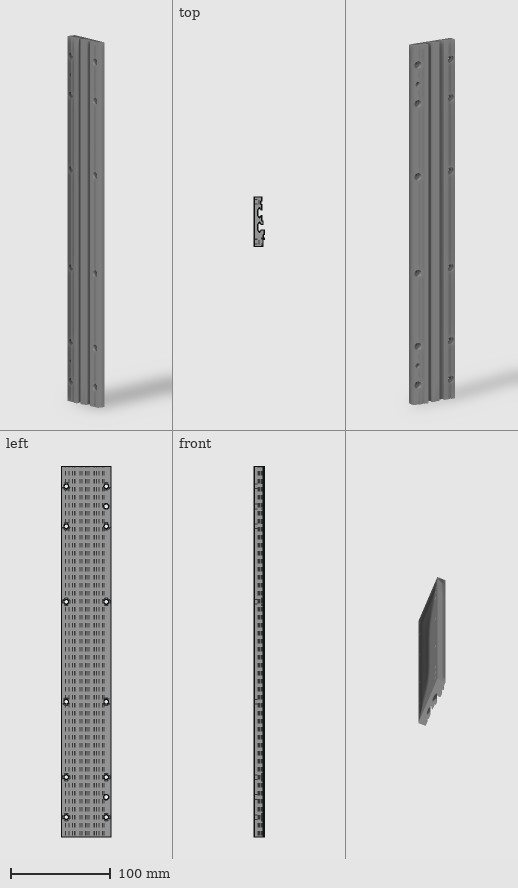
import cadquery as cq

LENGTH = 371.0
WIDTH = 50.0
UPPER_FACE_X = 7.9
LOWER_FACE_X = 9.0
RIDGE_X = 10.3
EDGE_CHAMFER = 0.3

UPPER_STEP_Y = 0.8
RIDGE_BOTTOM_Y = -17.7

UPPER_SLOT_Y = 9.0
LOWER_SLOT_Y = -5.5
SLOT_MOUTH_WIDTH = 5.5
SLOT_WIDE_WIDTH = 9.6
SLOT_FLOOR_WIDTH = 5.0
SLOT_FLOOR_X = 3.7
SLOT_WIDE_X = 5.0
SLOT_SHOULDER_X = 5.5
SLOT_LIP_X = 7.0

GROOVE_DEPTH = 1.1
UPPER_GROOVE_Y = 19.0
UPPER_GROOVE_WIDTH = 3.2
RIDGE_GROOVE_Y = -14.6
RIDGE_GROOVE_WIDTH = 3.6

HOLE_ROW_Y = 20.0
SCREW_HOLE_Z = (50.0, 125.5, 165.5)
SCREW_HOLE_DIAMETER = 4.5
COUNTERBORE_DIAMETER = 7.5
COUNTERBORE_FLOOR_X = 5.0
PLAIN_HOLE_Z = 145.5
PLAIN_HOLE_DIAMETER = 5.0


def along_length(sketch):
    """Extrude an XY outline over the plate length, centred on Z = 0."""
    return sketch.extrude(LENGTH / 2, both=True)


def plate():
    """Stepped plate: the ridge starts inside the lower slot and one back edge is chamfered."""
    half_width = WIDTH / 2
    outline = [
        (0, half_width),
        (UPPER_FACE_X, half_width),
        (UPPER_FACE_X, UPPER_STEP_Y),
        (LOWER_FACE_X, UPPER_STEP_Y),
        (LOWER_FACE_X, LOWER_SLOT_Y),
        (RIDGE_X, LOWER_SLOT_Y),
        (RIDGE_X, RIDGE_BOTTOM_Y),
        (LOWER_FACE_X, RIDGE_BOTTOM_Y),
        (LOWER_FACE_X, -half_width),
        (0, -half_width),
    ]
    body = along_length(cq.Workplane("XY").polyline(outline).close())
    return body.edges("<X and <Y").chamfer(EDGE_CHAMFER)


def undercut_slot(centre_y):
    """Slot with a narrow mouth and a wider chamber that tapers to its floor and its lips."""
    half_outline = [
        (SLOT_FLOOR_X, SLOT_FLOOR_WIDTH / 2),
        (SLOT_WIDE_X, SLOT_WIDE_WIDTH / 2),
        (SLOT_SHOULDER_X, SLOT_WIDE_WIDTH / 2),
        (SLOT_LIP_X, SLOT_MOUTH_WIDTH / 2),
        (RIDGE_X, SLOT_MOUTH_WIDTH / 2),
    ]
    mirrored = [(x, -y) for x, y in reversed(half_outline)]
    outline = [(x, centre_y + y) for x, y in half_outline + mirrored]
    return along_length(cq.Workplane("XY").polyline(outline).close())


def groove(face_x, centre_y, width):
    """Rectangular groove cut into a face that lies at face_x."""
    sketch = cq.Workplane("XY").center(face_x, centre_y).rect(2 * GROOVE_DEPTH, width)
    return along_length(sketch)


def bore(start_x, y, z, diameter):
    """Cylinder along X from start_x out to the ridge face."""
    workplane = cq.Workplane("YZ", origin=(start_x, y, z))
    return workplane.circle(diameter / 2).extrude(RIDGE_X - start_x)


result = plate()
for slot_y in (UPPER_SLOT_Y, LOWER_SLOT_Y):
    result = result.cut(undercut_slot(slot_y))

result = result.cut(groove(UPPER_FACE_X, UPPER_GROOVE_Y, UPPER_GROOVE_WIDTH))
result = result.cut(groove(RIDGE_X, RIDGE_GROOVE_Y, RIDGE_GROOVE_WIDTH))

for side in (1, -1):
    for hole_z in SCREW_HOLE_Z:
        for row_y in (HOLE_ROW_Y, -HOLE_ROW_Y):
            result = result.cut(bore(0, row_y, side * hole_z, SCREW_HOLE_DIAMETER))
            result = result.cut(bore(COUNTERBORE_FLOOR_X, row_y, side * hole_z, COUNTERBORE_DIAMETER))
    result = result.cut(bore(0, -HOLE_ROW_Y, side * PLAIN_HOLE_Z, PLAIN_HOLE_DIAMETER))